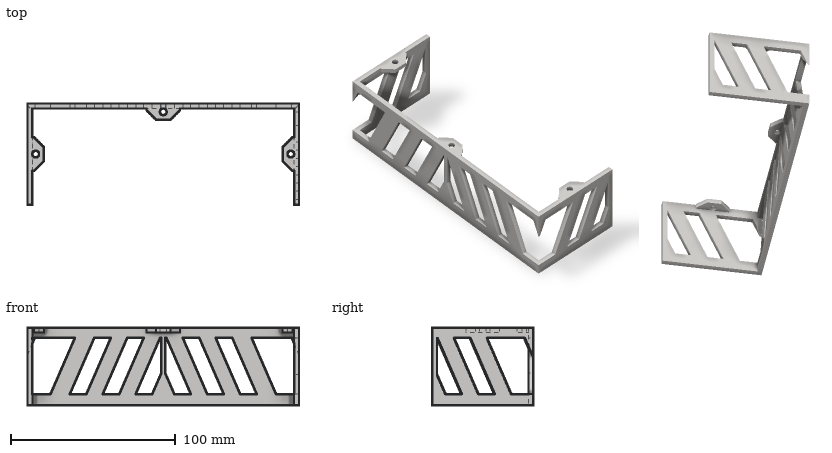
import cadquery as cq

length = 165.0
depth = 61.5
height = 47.2
wall = 3.1

window_bottom = 7.0
window_top = 41.1
slant_run = 14.8
slot_width = 9.9
slot_pitch = 20.0

middle_post = 2.5
back_first_edge = 6.8
back_slots = 3
back_corner_edge = 68.5
back_corner_width = 24.3

end_post = wall
side_first_edge = 7.8
side_slots = 2
side_corner_edge = side_first_edge + side_slots * slot_pitch
side_corner_width = 23.0
right_shift = 0.5

tab_thickness = 3.0
tab_reach = 10.0
tab_width = 20.5
tab_chamfer = 6.0
hole_diameter = 4.0
hole_inset = 5.1


def window_cutter(plane, first_edge, slots, corner_edge, corner_width):
    """Row of equal slots and one wide corner window, all leaning towards the start of the row."""
    windows = [(first_edge + i * slot_pitch, slot_width) for i in range(slots)]
    windows.append((corner_edge, corner_width))
    cutter = plane
    for edge, width in windows:
        outline = [
            (edge, window_bottom),
            (edge + width, window_bottom),
            (edge + width - slant_run, window_top),
            (edge - slant_run, window_top),
        ]
        cutter = cutter.polyline(outline).close()
    return cutter.extrude(wall)


def back_windows():
    """Windows in the +X half of the back wall, trimmed at the middle post."""
    plane = cq.Workplane("XZ", origin=(0, depth, 0))
    cutter = window_cutter(plane, back_first_edge, back_slots, back_corner_edge, back_corner_width)
    beyond_post = cq.Workplane("XY").box(length, depth, height, centered=False)
    return cutter.intersect(beyond_post.translate((middle_post / 2, 0, 0)))


def side_windows(wall_x, shift):
    """Windows in the side wall whose low-X face is at wall_x, trimmed at the end post."""
    plane = cq.Workplane("YZ", origin=(wall_x, shift, 0))
    cutter = window_cutter(plane, side_first_edge, side_slots, side_corner_edge, side_corner_width)
    beyond_post = cq.Workplane("XY").box(wall, depth, height, centered=False)
    return cutter.intersect(beyond_post.translate((wall_x, end_post, 0)))


def place_on_wall(shape, angle, x, y):
    """Turn a shape that points along -Y from the origin and set it on an outer wall face."""
    return shape.rotate((0, 0, 0), (0, 0, 1), angle).translate((x, y, 0))


def screw_tab():
    """Tab with two chamfered corners, flush with the top edge."""
    half = tab_width / 2
    shoulder_y = tab_chamfer - tab_reach
    return (
        cq.Workplane("XY", origin=(0, 0, height - tab_thickness))
        .moveTo(-half, 0)
        .lineTo(half, 0)
        .lineTo(half, shoulder_y)
        .lineTo(half - tab_chamfer, -tab_reach)
        .lineTo(tab_chamfer - half, -tab_reach)
        .lineTo(-half, shoulder_y)
        .close()
        .extrude(tab_thickness)
    )


def screw_hole():
    """Hole through the thickness of a tab."""
    return (
        cq.Workplane("XY", origin=(0, -hole_inset, height - tab_thickness))
        .circle(hole_diameter / 2)
        .extrude(tab_thickness)
    )


frame = cq.Workplane("XY").box(length, depth, height, centered=(True, False, False))
inside = cq.Workplane("XY").box(length - 2 * wall, depth - wall, height, centered=(True, False, False))
result = frame.cut(inside)

half_back = back_windows()
result = result.cut(half_back).cut(half_back.mirror("YZ"))
result = result.cut(side_windows(-length / 2, 0))
result = result.cut(side_windows(length / 2 - wall, right_shift))

tab_places = [
    (0, 0, depth),
    (90, -length / 2, depth / 2),
    (-90, length / 2, depth / 2),
]
for angle, x, y in tab_places:
    result = result.union(place_on_wall(screw_tab(), angle, x, y))
    result = result.cut(place_on_wall(screw_hole(), angle, x, y))